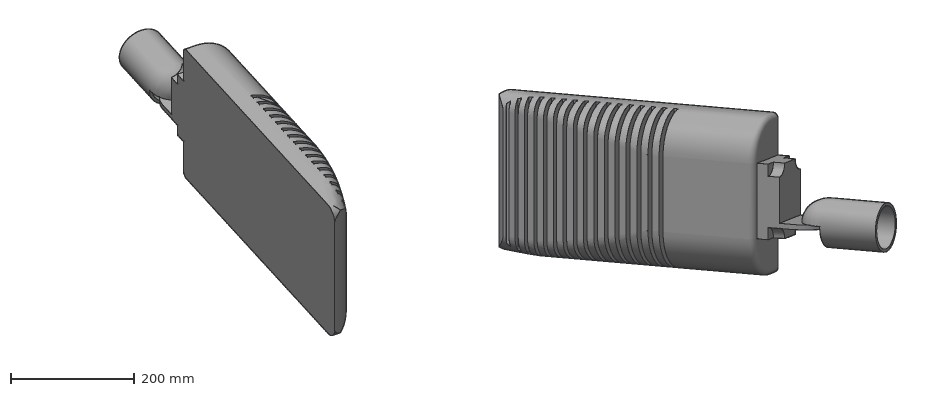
import cadquery as cq
import math

total_length = 712.13
housing_start = 212.13
housing_width = 265.0
half_width = housing_width / 2
housing_depth = 91.0

back_edge_radius = 70.0
heel_fillet = 10.0
tail_start = 403.0
tail_radius = 755.0
nose_start = 689.0
nose_bulge = 2.7
tail_fillet = 30.0
toe_corner_radius = 22.0
clearance = 50.0
sliver = 1.0
blank_end = total_length + clearance

slot_count = 16
slot_pitch = 20.0
slot_width = 7.0
slot_floor = 34.0
first_slot_x = 379.5

block_start = 172.13
block_width = housing_width - 2 * back_edge_radius
block_depth = 81.0
corner_relief_radius = 20.0
corner_relief_length = 20.0
plate_top = -33.6
plate_thickness = 8.5
plate_end_x = 103.0
plate_end_radius = block_depth / 2

socket_radius = block_depth / 2
socket_wall = 5.0
socket_length = 100.0
dome_length = 47.0


def side_prism(profile):
    """Extrude an XY profile right across the width of the housing."""
    return profile.close().extrude(half_width + clearance, both=True)


def tail_height(x):
    """Height of the tail arc above the lens face."""
    return housing_depth - tail_radius + math.sqrt(tail_radius**2 - (x - tail_start) ** 2)


def tail_waste():
    """Region behind the arc along which the housing back falls away towards the toe."""
    tail_middle = (tail_start + blank_end) / 2
    return side_prism(
        cq.Workplane("XY")
        .moveTo(tail_start, housing_depth)
        .threePointArc((tail_middle, tail_height(tail_middle)), (blank_end, tail_height(blank_end)))
        .lineTo(blank_end, housing_depth + clearance)
        .lineTo(tail_start, housing_depth + clearance)
    )


def nose_waste():
    """Region outside the steeper nose arc that takes the tail down to the lens face at the toe."""
    return side_prism(
        cq.Workplane("XY")
        .moveTo(nose_start, tail_height(nose_start))
        .sagittaArc((total_length, 0), nose_bulge)
        .lineTo(total_length, -2 * clearance)
        .lineTo(blank_end + clearance, -2 * clearance)
        .lineTo(blank_end + clearance, housing_depth)
        .lineTo(nose_start, housing_depth)
    )


def lens_outline():
    """Prism with the rounded toe corners of the lens face."""
    return (
        cq.Workplane("XY")
        .box(total_length - housing_start, housing_depth, housing_width, centered=(False, False, True))
        .translate((housing_start, 0, 0))
        .edges("|Y and >X")
        .fillet(toe_corner_radius)
    )


def make_shell():
    """Housing body: rounded back and heel, arched tail with filleted sides, rounded nose, flat lens face."""
    shell = (
        cq.Workplane("XY")
        .box(
            blank_end - housing_start,
            housing_depth + clearance,
            housing_width,
            centered=(False, False, True),
        )
        .translate((housing_start, -clearance, 0))
        .edges("|X and >Y")
        .fillet(back_edge_radius)
        .faces("<X")
        .edges("not <Y")
        .fillet(heel_fillet)
        .cut(tail_waste())
    )
    tail_sides = cq.selectors.BoxSelector(
        (tail_start + sliver, sliver - clearance, -housing_width),
        (blank_end - sliver, housing_depth - sliver, housing_width),
    )
    tail_middle = (tail_start + total_length) / 2
    tail_face = cq.selectors.NearestToPointSelector((tail_middle, tail_height(tail_middle), 0))
    shell = shell.faces(tail_face).edges(tail_sides).fillet(tail_fillet)
    return shell.cut(nose_waste()).intersect(lens_outline())


def cut_slots(shell):
    """Row of cooling slots open to the back and running across the full width."""
    for index in range(slot_count):
        slot = (
            cq.Workplane("XY")
            .box(slot_width, housing_depth, 2 * housing_width, centered=(True, False, True))
            .translate((first_slot_x + index * slot_pitch, slot_floor, 0))
        )
        shell = shell.cut(slot)
    return shell


def make_block():
    """Mounting block with a quarter-round relief in each corner of its free end."""
    block_length = housing_start - block_start + heel_fillet
    block = (
        cq.Workplane("XY")
        .box(block_length, block_depth, block_width, centered=(False, False, True))
        .translate((block_start, 0, 0))
    )
    reliefs = (
        cq.Workplane("YZ", origin=(block_start, block_depth / 2, 0))
        .rect(block_depth, block_width, forConstruction=True)
        .vertices()
        .circle(corner_relief_radius)
        .extrude(corner_relief_length)
    )
    return block.cut(reliefs)


def make_plate():
    """Hinge plate with a round end, reaching from the mounting block under the socket dome."""
    end_center = plate_end_x + plate_end_radius
    return (
        cq.Workplane("XY", origin=(0, 0, plate_top))
        .moveTo(block_start + corner_relief_length, 0)
        .lineTo(end_center, 0)
        .threePointArc((plate_end_x, plate_end_radius), (end_center, block_depth))
        .lineTo(block_start + corner_relief_length, block_depth)
        .close()
        .extrude(-plate_thickness)
    )


def half_dome(length, radius):
    """Upper half of a half ellipsoid that closes the socket, its flat underside on the hinge plate."""
    dome = (
        cq.Workplane("XY")
        .ellipseArc(length, radius, 0, 90, startAtCurrent=False)
        .lineTo(0, 0)
        .close()
        .revolve(360, (0, 0, 0), (1, 0, 0))
    )
    upper = cq.Workplane("XY").box(2 * length, 2 * radius, radius, centered=(True, True, False))
    return dome.intersect(upper).translate((socket_length, socket_radius, plate_top))


def make_socket():
    """Thin pipe socket, open at the front, with a hollow half dome at its inner end."""
    inner_radius = socket_radius - socket_wall
    pipe = (
        cq.Workplane("YZ", origin=(0, socket_radius, plate_top))
        .circle(socket_radius)
        .circle(inner_radius)
        .extrude(socket_length)
    )
    dome = half_dome(dome_length, socket_radius).cut(half_dome(dome_length - socket_wall, inner_radius))
    return pipe.union(dome)


housing = cut_slots(make_shell()).union(make_block()).union(make_plate())
socket = make_socket()

result = cq.Compound.makeCompound([housing.val(), socket.val()])